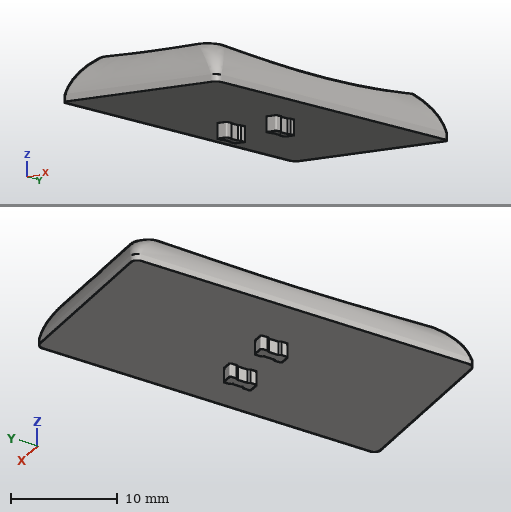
import cadquery as cq
import math

length = 37.0
width = 18.0
band_height = 0.7
base_corner_radius = 0.7

wall_radius = 5.35
wall_start_lean = 7.0
wall_end_lean = 57.0
wall_steps = 5
corner_radius_growth = 0.3

dish_radius = 127.65
dish_floor = 3.1
rim_fillet = 0.3

leg_spacing = 5.7
leg_width = 1.2
leg_length = 2.92
leg_height = 1.48
leg_corner_radius = 0.15
waist_depth = 0.15
waist_mouth = 1.5
waist_floor = 1.05


def wall_section(lean_degrees):
    """Rounded rectangle of the side wall where the arc has the given lean."""
    start = math.radians(wall_start_lean)
    lean = math.radians(lean_degrees)
    inset = wall_radius * (math.cos(start) - math.cos(lean))
    rise = wall_radius * (math.sin(lean) - math.sin(start))
    corner_radius = base_corner_radius + corner_radius_growth * rise
    outline = cq.Sketch().rect(width - 2 * inset, length - 2 * inset).vertices().fillet(corner_radius)
    return outline.moved(cq.Location(cq.Vector(0, 0, band_height + rise)))


def make_cap():
    band = cq.Workplane("XY").placeSketch(wall_section(wall_start_lean)).extrude(-band_height)
    lean_step = (wall_end_lean - wall_start_lean) / wall_steps
    sections = [wall_section(wall_start_lean + i * lean_step) for i in range(wall_steps + 1)]
    walls = cq.Workplane("XY").placeSketch(*sections).loft()
    dish = cq.Workplane("XZ", origin=(0, 0, dish_floor + dish_radius)).sphere(dish_radius)
    dished = walls.cut(dish)
    rim = dished.faces("%SPHERE").edges()
    return band.union(dished.newObject(rim.vals()).fillet(rim_fillet))


def make_leg(x):
    leg = (
        cq.Workplane("XY")
        .center(x, 0)
        .rect(leg_width, leg_length)
        .extrude(-leg_height)
        .edges("|Z")
        .fillet(leg_corner_radius)
    )
    for side in (-1, 1):
        side_x = x + side * leg_width / 2
        floor_x = side_x - side * waist_depth
        waist = (
            cq.Workplane("XY")
            .polyline([
                (side_x, -waist_mouth / 2),
                (floor_x, -waist_floor / 2),
                (floor_x, waist_floor / 2),
                (side_x, waist_mouth / 2),
            ])
            .close()
            .extrude(-leg_height)
        )
        leg = leg.cut(waist)
    return leg


result = make_cap()
for leg_x in (-leg_spacing / 2, leg_spacing / 2):
    result = result.union(make_leg(leg_x))